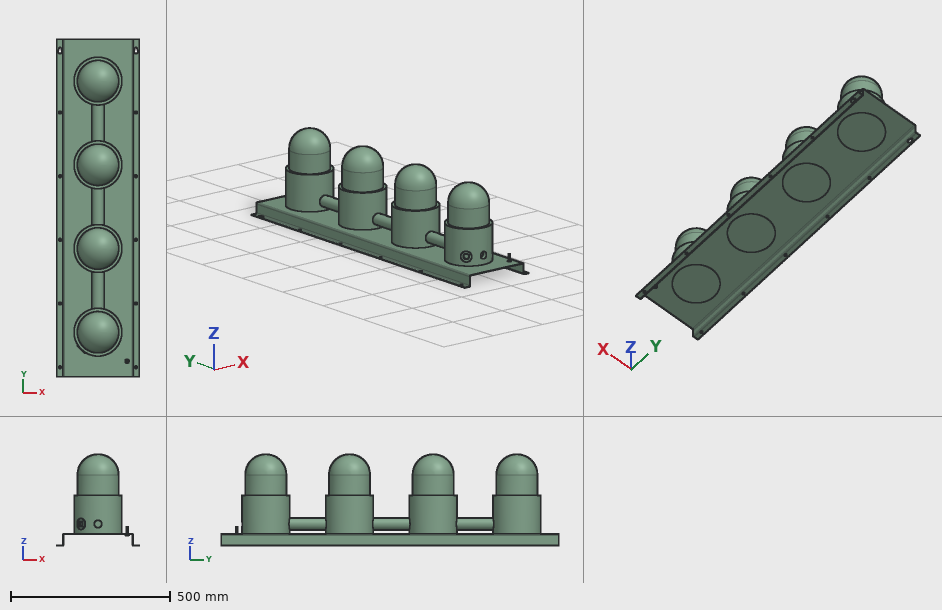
import cadquery as cq

length = 1060.0
width = 260.0
height = 288.0

sheet = 2.0
bend_inner = 2.0
bend_outer = bend_inner + sheet
deck_width = 220.0
deck_top = 38.0

hole_end_gap = 30.0
plain_holes_per_side = 5
hole_pitch = (length - 2 * hole_end_gap) / plain_holes_per_side
hole_dia = 7.0
hole_x = width / 2 - 11.0
keyhole_dia = 13.0
keyhole_offset = 8.0

lamp_count = 4
lamp_pitch = 263.0
first_lamp_y = -length / 2 + 140.0
base_dia = 150.0
base_height = 121.0
glass_dia = 130.0
dome_radius = glass_dia / 2
port_z = deck_top + 31.0

tube_dia = 38.0

entry_dia = 23.0
entry_depth = 17.0

gland_angle = -135
gland_dia = 35.0
gland_standout = 0.5
gland_bore = 18.0
gland_bore_depth = 8.0

stud_x = 91.0
stud_y = -length / 2 + 49.0
stud_dia = 6.0
stud_height = 22.0
stud_head_dia = 13.0
stud_head_height = 4.0
stud_head_chamfer = 2.0

lamp_ys = [first_lamp_y + i * lamp_pitch for i in range(lamp_count)]


def make_base():
    """Hat-shaped sheet section, extruded along Y, with lip holes."""
    half_deck = deck_width / 2
    inner_face = half_deck - sheet
    outline = [
        (-width / 2, 0),
        (-inner_face, 0),
        (-inner_face, deck_top - sheet),
        (inner_face, deck_top - sheet),
        (inner_face, 0),
        (width / 2, 0),
        (width / 2, sheet),
        (half_deck, sheet),
        (half_deck, deck_top),
        (-half_deck, deck_top),
        (-half_deck, sheet),
        (-width / 2, sheet),
    ]
    base = cq.Workplane("XZ").polyline(outline).close().extrude(length / 2, both=True)

    def bend_edges(x, z):
        reach = sheet / 4
        right = cq.selectors.BoxSelector((x - reach, -length, z - reach), (x + reach, length, z + reach))
        left = cq.selectors.BoxSelector((-x - reach, -length, z - reach), (-x + reach, length, z + reach))
        return base.edges("|Y").edges(right + left)

    base = bend_edges(half_deck, deck_top).fillet(bend_outer)
    base = bend_edges(inner_face, 0).fillet(bend_outer)
    base = bend_edges(inner_face, deck_top - sheet).fillet(bend_inner)
    base = bend_edges(half_deck, sheet).fillet(bend_inner)
    return base.cut(make_lip_holes())


def make_lip_holes():
    """Round holes along both lips and a keyhole at each +Y end."""
    first_y = -length / 2 + hole_end_gap
    plain_ys = [first_y + i * hole_pitch for i in range(plain_holes_per_side)]
    plain = [(side * hole_x, y) for side in (-1, 1) for y in plain_ys]
    slot_y = length / 2 - hole_end_gap
    slot_tops = [(side * hole_x, slot_y) for side in (-1, 1)]
    slot_mids = [(side * hole_x, slot_y - keyhole_offset / 2) for side in (-1, 1)]
    slot_heads = [(side * hole_x, slot_y - keyhole_offset) for side in (-1, 1)]
    floor = cq.Workplane("XY")
    holes = floor.pushPoints(plain + slot_tops).circle(hole_dia / 2).extrude(sheet)
    necks = floor.pushPoints(slot_mids).rect(hole_dia, keyhole_offset).extrude(sheet)
    heads = floor.pushPoints(slot_heads).circle(keyhole_dia / 2).extrude(sheet)
    return holes.union(necks).union(heads)


def make_lamp(y):
    """Cylindrical lamp base carrying a narrower glass with a domed top."""
    dome_z = height - dome_radius
    profile = (
        cq.Workplane("XZ")
        .moveTo(0, deck_top)
        .lineTo(base_dia / 2, deck_top)
        .lineTo(base_dia / 2, deck_top + base_height)
        .lineTo(dome_radius, deck_top + base_height)
        .lineTo(dome_radius, dome_z)
        .radiusArc((0, height), -dome_radius)
        .close()
    )
    return profile.revolve(360, (0, 0), (0, 1)).translate((0, y, 0))


def make_tube():
    """One straight tube from the first lamp axis to the last."""
    run = lamp_ys[-1] - lamp_ys[0]
    plane = cq.Plane((0, lamp_ys[0], port_z), xDir=(1, 0, 0), normal=(0, 1, 0))
    return cq.Workplane(plane).circle(tube_dia / 2).extrude(run)


def make_entry_hole():
    """Blind round hole in the -Y face of the first lamp base."""
    front = first_lamp_y - base_dia / 2
    plane = cq.Plane((0, front, port_z), xDir=(1, 0, 0), normal=(0, 1, 0))
    return cq.Workplane(plane).circle(entry_dia / 2).extrude(entry_depth)


def add_gland(body):
    """Add a round gland with a recessed bore to the first lamp."""
    gland_root = base_dia / 4
    face = base_dia / 2 + gland_standout

    def along_axis(dia, start, end):
        bar = cq.Workplane("YZ").circle(dia / 2).extrude(end - start)
        bar = bar.translate((start, 0, 0)).rotate((0, 0, 0), (0, 0, 1), gland_angle)
        return bar.translate((0, first_lamp_y, port_z))

    body = body.union(along_axis(gland_dia, gland_root, face))
    return body.cut(along_axis(gland_bore, face - gland_bore_depth, face))


def make_stud():
    """Upright stud with a chamfered head under the deck."""
    under = deck_top - sheet
    shank = cq.Workplane("XY").circle(stud_dia / 2).extrude(stud_height + sheet)
    head = cq.Workplane("XY").circle(stud_head_dia / 2).extrude(-stud_head_height)
    head = head.faces("<Z").chamfer(stud_head_chamfer)
    return shank.union(head).translate((stud_x, stud_y, under))


result = make_base()
for lamp_y in lamp_ys:
    result = result.union(make_lamp(lamp_y))
result = result.union(make_tube())
result = result.cut(make_entry_hole())
result = add_gland(result)
result = result.union(make_stud())